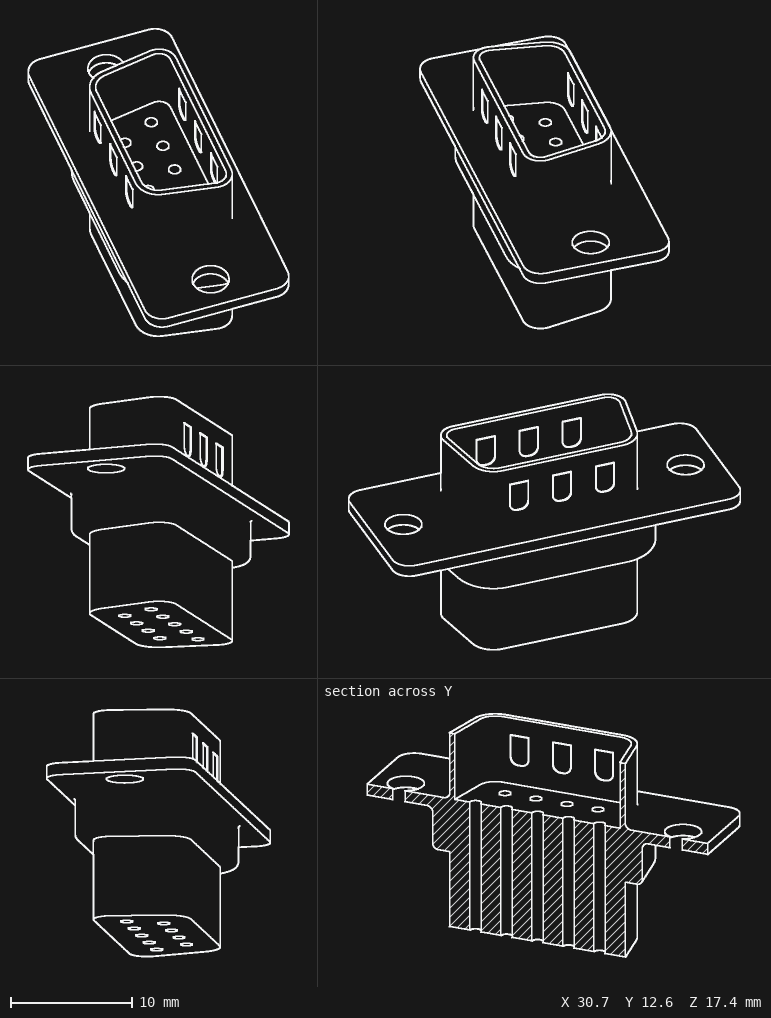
import cadquery as cq
import math

PLATE_LENGTH = 30.73
PLATE_WIDTH = 12.55
PLATE_THICKNESS = 1.0
PLATE_CORNER_RADIUS = 1.5
MOUNT_HOLE_DIAMETER = 3.05
MOUNT_HOLE_OFFSET = 12.5

TOTAL_HEIGHT = 17.35
SHELL_DEPTH = 7.93
FRONT_FLAT_LENGTH = 10.63
FRONT_CORNER_RADIUS = 2.0
BACK_CORNER_RADIUS = 1.5
SIDE_SLOPE = math.radians(10)
WALL_THICKNESS = 0.5

COLLAR_OFFSET = 1.5
COLLAR_BOTTOM = 6.7
EDGE_RADIUS = 0.5

PLATE_TOP = 11.5
PLATE_BOTTOM = PLATE_TOP - PLATE_THICKNESS
CAVITY_FLOOR = PLATE_TOP

PIN_HOLE_DIAMETER = 0.98
PIN_PITCH = 2.8
PIN_ROW_SPACING = 2.83
BACK_ROW_COUNT = 5
FRONT_ROW_COUNT = 4

DIMPLE_WIDTH = 1.63
DIMPLE_HEIGHT = 2.6
DIMPLE_CORNER_RADIUS = 0.68
DIMPLE_TOP_GAP = 1.55
DIMPLE_PITCH = 3.8
DIMPLE_COUNT = 3
DIMPLE_DEPTH = 0.1

BOX_MARGIN = 0.15


def row_positions(count, pitch):
    """Evenly spaced places centred on zero."""
    return [(i - (count - 1) / 2) * pitch for i in range(count)]


def d_prism(offset, bottom, top):
    """Prism with the D outline, grown outward by the offset (inward if negative)."""
    half_depth = SHELL_DEPTH / 2 + offset
    front_radius = FRONT_CORNER_RADIUS + offset
    back_radius = BACK_CORNER_RADIUS + offset
    front_corner = FRONT_FLAT_LENGTH / 2 + front_radius * math.tan(math.pi / 4 - SIDE_SLOPE / 2)
    back_corner = front_corner + 2 * half_depth * math.tan(SIDE_SLOPE)
    corners = [
        (-front_corner, -half_depth),
        (front_corner, -half_depth),
        (back_corner, half_depth),
        (-back_corner, half_depth),
    ]
    base = cq.Workplane("XY").workplane(offset=bottom)
    prism = base.polyline(corners).close().extrude(top - bottom)
    prism = prism.edges("|Z and <Y").fillet(front_radius)
    return prism.edges("|Z and >Y").fillet(back_radius)


def round_joint(body, offset, height):
    """Fillet the edge where a D prism of this offset meets a plate face at this height."""
    half_depth = SHELL_DEPTH / 2 + offset + BOX_MARGIN
    joint = cq.selectors.BoxSelector(
        (-MOUNT_HOLE_OFFSET, -half_depth, height - BOX_MARGIN),
        (MOUNT_HOLE_OFFSET, half_depth, height + BOX_MARGIN),
    )
    return body.edges(joint).fillet(EDGE_RADIUS)


def make_plate():
    plate = cq.Workplane("XY").workplane(offset=PLATE_BOTTOM)
    plate = plate.rect(PLATE_LENGTH, PLATE_WIDTH).extrude(PLATE_THICKNESS)
    return plate.edges("|Z").fillet(PLATE_CORNER_RADIUS)


def make_mount_holes():
    centers = [(-MOUNT_HOLE_OFFSET, 0), (MOUNT_HOLE_OFFSET, 0)]
    holes = cq.Workplane("XY").pushPoints(centers)
    return holes.circle(MOUNT_HOLE_DIAMETER / 2).extrude(TOTAL_HEIGHT)


def make_pin_holes():
    back_row = [(x, PIN_ROW_SPACING / 2) for x in row_positions(BACK_ROW_COUNT, PIN_PITCH)]
    front_row = [(x, -PIN_ROW_SPACING / 2) for x in row_positions(FRONT_ROW_COUNT, PIN_PITCH)]
    holes = cq.Workplane("XY").pushPoints(back_row + front_row)
    return holes.circle(PIN_HOLE_DIAMETER / 2).extrude(TOTAL_HEIGHT)


def make_dimples(wall_face):
    """Row of dimple cutters reaching DIMPLE_DEPTH to each side of the wall face at this Y."""
    center_height = TOTAL_HEIGHT - DIMPLE_TOP_GAP - DIMPLE_HEIGHT / 2
    centers = [(x, wall_face, center_height) for x in row_positions(DIMPLE_COUNT, DIMPLE_PITCH)]
    dimple = cq.Workplane("XY").box(DIMPLE_WIDTH, 2 * DIMPLE_DEPTH, DIMPLE_HEIGHT)
    dimple = dimple.edges("|Y and <Z").fillet(DIMPLE_CORNER_RADIUS)
    cutters = cq.Workplane("XY")
    for center in centers:
        cutters = cutters.add(dimple.translate(center))
    return cutters.combine()


collar = d_prism(COLLAR_OFFSET, COLLAR_BOTTOM, PLATE_BOTTOM)
collar = collar.faces("<Z").edges().fillet(EDGE_RADIUS)
body = make_plate().union(collar)
body = round_joint(body, COLLAR_OFFSET, PLATE_BOTTOM)
body = body.union(d_prism(0, 0, TOTAL_HEIGHT))
body = round_joint(body, 0, PLATE_TOP)

body = body.cut(d_prism(-WALL_THICKNESS, CAVITY_FLOOR, TOTAL_HEIGHT))
body = body.cut(make_mount_holes())
body = body.cut(make_pin_holes())

outer_face = SHELL_DEPTH / 2
inner_face = outer_face - WALL_THICKNESS
for wall_face in (-outer_face, -inner_face, inner_face, outer_face):
    body = body.cut(make_dimples(wall_face))

result = body